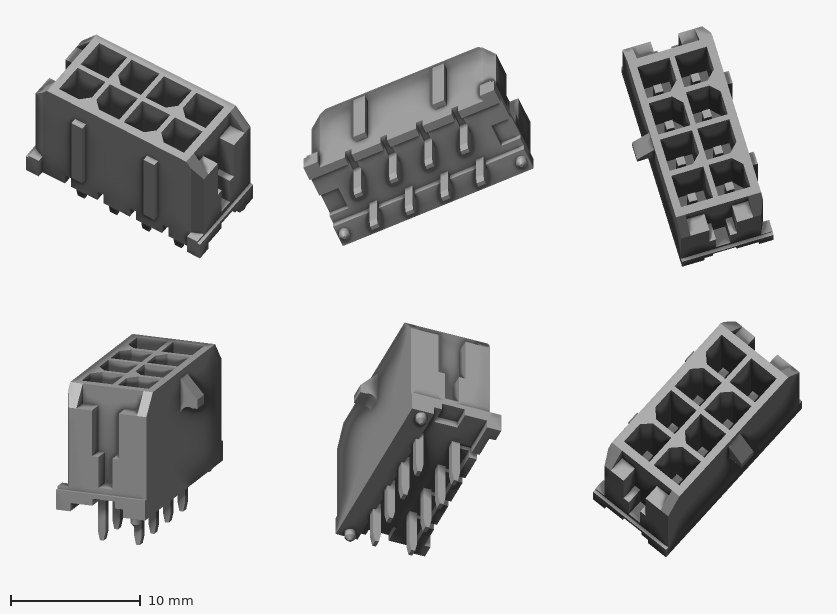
import cadquery as cq

BODY_DEPTH = 6.86
BODY_HEIGHT = 9.92
BODY_HALF_WIDTH = 7.82
CORE_HALF_WIDTH = 6.46
SHOULDER_HEIGHT = 8.3
FRONT_Y = -BODY_DEPTH / 2
REAR_Y = BODY_DEPTH / 2

FLANGE_HALF_WIDTH = 8.08
FLANGE_HEIGHT = 1.62
LUG_PROJECTION = 0.52
LUG_INNER_X = 6.88
LUG_HEIGHT = 1.82
CORNER_BEVEL_DEPTH = 0.42

END_DEPTH = BODY_HALF_WIDTH - CORE_HALF_WIDTH
REAR_WING_THICKNESS = 0.78
FRONT_WING_THICKNESS = 1.05
WIDE_SLOT_WIDTH = 2.23
WIDE_SLOT_FLOOR = 4.59
NARROW_SLOT_WIDTH = 1.15
NARROW_SLOT_FLOOR = 2.08

COLUMNS = 4
ROWS = 2
PITCH = 3.0
GRID_Y = 0.03
CELL_SIZE = 2.58
CELL_CORNER = 0.71
CELL_FLOOR = 2.0
PIN_SIZE = 0.63
PIN_TOP = 6.46
PIN_BOTTOM = -3.18
PIN_TAPER_START = -2.45
PIN_TIP_THICKNESS = 0.3
CELL_KEYS = {
    "front": (1, -1, 1, -1),
    "rear": (0, -1, 1, -1),
}

CHANNEL_FRONT_Y = -2.78
CHANNEL_REAR_Y = 1.62
CHANNEL_HEIGHT = 0.68
END_NOTCH_WIDTH = 1.89
END_NOTCH_HEIGHT = 1.25
PIN_NOTCH_WIDTH = 0.58
PIN_NOTCH_HEIGHT = 1.0

RIB_X = 3.35
RIB_WIDTH = 1.0

LATCH_WIDTH = 1.4
LATCH_PROJECTION = 1.39
LATCH_TOP = 9.27
LATCH_NOSE_TOP = 7.72
LATCH_NOSE_BOTTOM = 7.0
LATCH_ROOT = 6.52
LATCH_ARC_START = 0.97
LATCH_ARC_CROWN = 0.71
LATCH_CROWN_HEIGHT = 7.05

PEG_X = 7.5
PEG_Y = 2.45
PEG_DIAMETER = 0.87
PEG_STRAIGHT = 0.5
PEG_LENGTH = 0.84
PEG_TIP_DIAMETER = 0.26


def block(x_range, y_range, z_range):
    """Axis-aligned box between two limits on each axis."""
    spans = [high - low for low, high in (x_range, y_range, z_range)]
    corner = (x_range[0], y_range[0], z_range[0])
    return cq.Workplane("XY").box(*spans, centered=False).translate(corner)


def both_ends(solid):
    """The solid together with its mirror image at the other X end."""
    return solid.union(solid.mirror("YZ"))


def column_x(column):
    return (column - (COLUMNS - 1) / 2) * PITCH


def row_y(row):
    return GRID_Y + (row - (ROWS - 1) / 2) * PITCH


def make_shell():
    outline = [
        (-BODY_HALF_WIDTH, 0),
        (BODY_HALF_WIDTH, 0),
        (BODY_HALF_WIDTH, SHOULDER_HEIGHT),
        (CORE_HALF_WIDTH, BODY_HEIGHT),
        (-CORE_HALF_WIDTH, BODY_HEIGHT),
        (-BODY_HALF_WIDTH, SHOULDER_HEIGHT),
    ]
    return cq.Workplane("XZ").polyline(outline).close().extrude(BODY_DEPTH / 2, both=True)


def make_corner_bevel():
    bevel = (
        cq.Workplane("XY", origin=(0, 0, LUG_HEIGHT))
        .polyline([
            (LUG_INNER_X, FRONT_Y),
            (BODY_HALF_WIDTH, FRONT_Y),
            (BODY_HALF_WIDTH, FRONT_Y + CORNER_BEVEL_DEPTH),
        ])
        .close()
        .extrude(BODY_HEIGHT)
    )
    return both_ends(bevel)


def make_end_openings():
    end_x = (CORE_HALF_WIDTH, BODY_HALF_WIDTH)
    between_wings = (FRONT_Y + FRONT_WING_THICKNESS, REAR_Y - REAR_WING_THICKNESS)
    openings = block(end_x, between_wings, (SHOULDER_HEIGHT, BODY_HEIGHT))
    slots = (
        (WIDE_SLOT_WIDTH, WIDE_SLOT_FLOOR),
        (NARROW_SLOT_WIDTH, NARROW_SLOT_FLOOR),
    )
    for width, floor in slots:
        slot_y = (GRID_Y - width / 2, GRID_Y + width / 2)
        openings = openings.union(block(end_x, slot_y, (floor, BODY_HEIGHT)))
    return both_ends(openings)


def make_flange_and_lugs():
    front = FRONT_Y - LUG_PROJECTION
    flange = block((CORE_HALF_WIDTH, FLANGE_HALF_WIDTH), (FRONT_Y, REAR_Y), (0, FLANGE_HEIGHT))
    lug = block((LUG_INNER_X, BODY_HALF_WIDTH), (front, FRONT_Y), (0, LUG_HEIGHT))
    lug_edge = block((BODY_HALF_WIDTH, FLANGE_HALF_WIDTH), (front, FRONT_Y), (0, FLANGE_HEIGHT))
    return both_ends(flange.union(lug).union(lug_edge))


def make_underside_cuts():
    cuts = block(
        (-FLANGE_HALF_WIDTH, FLANGE_HALF_WIDTH),
        (CHANNEL_FRONT_Y, CHANNEL_REAR_Y),
        (0, CHANNEL_HEIGHT),
    )
    end_notch = block(
        (CORE_HALF_WIDTH, FLANGE_HALF_WIDTH),
        (-END_NOTCH_WIDTH / 2, END_NOTCH_WIDTH / 2),
        (0, END_NOTCH_HEIGHT),
    )
    cuts = cuts.union(both_ends(end_notch))
    for column in range(COLUMNS):
        x = column_x(column)
        pin_notch = block(
            (x - PIN_NOTCH_WIDTH / 2, x + PIN_NOTCH_WIDTH / 2),
            (FRONT_Y, row_y(0)),
            (0, PIN_NOTCH_HEIGHT),
        )
        cuts = cuts.union(pin_notch)
    return cuts


def make_cell(x, y, key):
    """Square contact cavity, with one front corner bevelled when it is keyed."""
    half = CELL_SIZE / 2
    cell = block((x - half, x + half), (y - half, y + half), (CELL_FLOOR, BODY_HEIGHT))
    if key:
        side = ">X" if key > 0 else "<X"
        cell = cell.edges("|Z").edges(side).edges("<Y").chamfer(CELL_CORNER)
    return cell


def make_pin(x, y):
    """Square contact pin whose lower tip narrows along Y only."""
    half = PIN_SIZE / 2
    tip = PIN_TIP_THICKNESS / 2
    return (
        cq.Workplane("YZ", origin=(x, y, 0))
        .polyline([
            (-half, PIN_TOP),
            (half, PIN_TOP),
            (half, PIN_TAPER_START),
            (tip, PIN_BOTTOM),
            (-tip, PIN_BOTTOM),
            (-half, PIN_TAPER_START),
        ])
        .close()
        .extrude(half, both=True)
    )


def make_rib(x):
    return block(
        (x - RIB_WIDTH / 2, x + RIB_WIDTH / 2),
        (FRONT_Y - LUG_PROJECTION, FRONT_Y),
        (LUG_HEIGHT, SHOULDER_HEIGHT),
    )


def make_latch():
    nose = REAR_Y + LATCH_PROJECTION
    return (
        cq.Workplane("YZ")
        .moveTo(REAR_Y, LATCH_TOP)
        .lineTo(nose, LATCH_NOSE_TOP)
        .lineTo(nose, LATCH_NOSE_BOTTOM)
        .lineTo(REAR_Y + LATCH_ARC_START, LATCH_NOSE_BOTTOM)
        .threePointArc((REAR_Y + LATCH_ARC_CROWN, LATCH_CROWN_HEIGHT), (REAR_Y, LATCH_ROOT))
        .close()
        .extrude(LATCH_WIDTH / 2, both=True)
    )


def make_peg():
    radius = PEG_DIAMETER / 2
    return (
        cq.Workplane("XZ")
        .polyline([
            (0, 0),
            (radius, 0),
            (radius, -PEG_STRAIGHT),
            (PEG_TIP_DIAMETER / 2, -PEG_LENGTH),
            (0, -PEG_LENGTH),
        ])
        .close()
        .revolve(360, (0, 0, 0), (0, 1, 0))
        .translate((PEG_X, PEG_Y, 0))
    )


housing = make_shell().cut(make_corner_bevel()).cut(make_end_openings())
housing = housing.union(make_flange_and_lugs())
housing = housing.cut(make_underside_cuts())

for rib_x in (-RIB_X, RIB_X):
    housing = housing.union(make_rib(rib_x))
housing = housing.union(make_latch())
housing = housing.union(both_ends(make_peg()))

for row, keys in enumerate((CELL_KEYS["front"], CELL_KEYS["rear"])):
    for column, key in enumerate(keys):
        housing = housing.cut(make_cell(column_x(column), row_y(row), key))
        housing = housing.union(make_pin(column_x(column), row_y(row)))

result = housing